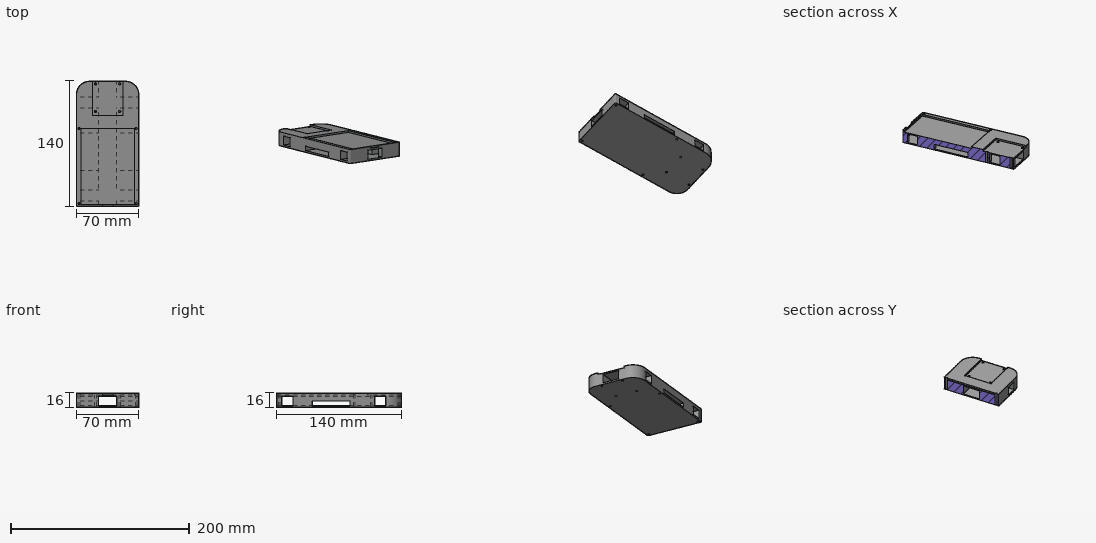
import cadquery as cq

width = 70.0
length = 140.0
height = 16.0
center_x = width / 2
rear_corner_radius = 15.0
front_corner_radius = 1.0

main_recess_width = 60.0
main_recess_length = 85.0
main_recess_front = 2.0
main_recess_depth = 2.0

rear_recess_width = 34.0
rear_recess_length = 38.5
rear_recess_depth = 2.0

notch_width = 12.0
notch_depth = 2.0
notch_length = 1.9

screw_diameter = 2.0
main_screw_spacing_x = 64.0
main_screw_spacing_y = 84.0
rear_screw_spacing_x = 27.0
rear_screw_spacing_y = 31.0
screw_end_margin = 3.0

tunnel_floor = 2.0
tunnel_height = 10.2
lengthwise_tunnel_width = 20.0
square_tunnel_width = 12.2
front_tunnel_start = 6.0
rear_tunnel_start = 110.0
slot_start = 40.0
slot_width = 42.0
slot_height = 5.0


def box_between(x_range, y_range, z_range):
    """Box spanning the given (low, high) range along each axis."""
    sizes = [high - low for low, high in (x_range, y_range, z_range)]
    corner = (x_range[0], y_range[0], z_range[0])
    return cq.Workplane("XY").box(*sizes, centered=False).translate(corner)


def centered_x(span):
    """Range of the given span, centered on the width of the body."""
    return (center_x - span / 2, center_x + span / 2)


def make_body():
    block = box_between((0, width), (0, length), (0, height))
    block = block.edges("|Z and >Y").fillet(rear_corner_radius)
    return block.edges("|Z and <Y").fillet(front_corner_radius)


def cut_recesses(body):
    main_recess = box_between(
        centered_x(main_recess_width),
        (main_recess_front, main_recess_front + main_recess_length),
        (height - main_recess_depth, height),
    )
    rear_recess = box_between(
        centered_x(rear_recess_width),
        (length - rear_recess_length, length),
        (height - rear_recess_depth, height),
    )
    notch = box_between(
        centered_x(notch_width),
        (0, notch_length),
        (height - notch_depth, height),
    )
    return body.cut(main_recess).cut(rear_recess).cut(notch)


def cut_tunnels(body):
    lengthwise_tunnel = box_between(
        centered_x(lengthwise_tunnel_width),
        (0, length),
        (tunnel_floor, tunnel_floor + tunnel_height),
    )
    body = body.cut(lengthwise_tunnel)

    cross_tunnels = (
        (front_tunnel_start, square_tunnel_width, tunnel_height),
        (slot_start, slot_width, slot_height),
        (rear_tunnel_start, square_tunnel_width, tunnel_height),
    )
    for start, span, opening_height in cross_tunnels:
        cross_tunnel = box_between(
            (0, width),
            (start, start + span),
            (tunnel_floor, tunnel_floor + opening_height),
        )
        body = body.cut(cross_tunnel)
    return body


def drill_screw_holes(body, spacing_x, spacing_y, center_y):
    """Four through holes at the corners of a rectangle."""
    holes = (
        cq.Workplane("XY")
        .center(center_x, center_y)
        .rect(spacing_x, spacing_y, forConstruction=True)
        .vertices()
        .circle(screw_diameter / 2)
        .extrude(height)
    )
    return body.cut(holes)


main_screw_center_y = screw_end_margin + main_screw_spacing_y / 2
rear_screw_center_y = length - screw_end_margin - rear_screw_spacing_y / 2

result = make_body()
result = cut_recesses(result)
result = cut_tunnels(result)
result = drill_screw_holes(result, main_screw_spacing_x, main_screw_spacing_y, main_screw_center_y)
result = drill_screw_holes(result, rear_screw_spacing_x, rear_screw_spacing_y, rear_screw_center_y)